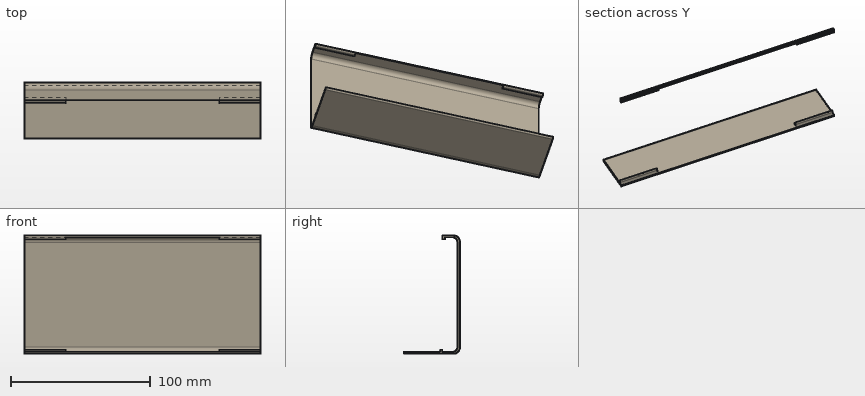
import cadquery as cq

length = 169.0
depth = 40.2
height = 85.0

wall_thickness = 2.0
flange_thickness = 1.5
outer_radius = 5.0
inner_radius = 3.5
lip_depth = 12.8
edge_radius = 1.0

snap_length = 29.5
snap_height = 1.5
snap_radius = 0.5
hook_width = 2.2
ridge_width = 1.7
ridge_center_offset = 13.5

back_y = depth / 2
front_y = -depth / 2
top_z = height / 2
bottom_z = -height / 2
lip_front_y = back_y - lip_depth
lip_underside_z = top_z - flange_thickness
floor_z = bottom_z + flange_thickness


def bar_between(bar_length, y_min, y_max, z_min, z_max):
    """Bar along X, centred on X = 0, between the given Y and Z limits."""
    bar = cq.Workplane("XY").box(bar_length, y_max - y_min, z_max - z_min)
    return bar.translate((0, (y_min + y_max) / 2, (z_min + z_max) / 2))


def make_channel():
    """Wall with a short top lip and a long bottom flange, rounded at the bends."""
    block = bar_between(length, front_y, back_y, bottom_z, top_z)
    block = block.edges("|X and >Y").fillet(outer_radius)
    inner_back_y = back_y - wall_thickness
    cavity = bar_between(length, front_y, inner_back_y, floor_z, lip_underside_z)
    cavity = cavity.edges("|X and >Y").fillet(inner_radius)
    space_before_lip = bar_between(length, front_y, lip_front_y, floor_z, top_z)
    channel = block.cut(cavity).cut(space_before_lip)

    lip_edge = cq.selectors.NearestToPointSelector((0, lip_front_y, top_z))
    flange_edge = cq.selectors.NearestToPointSelector((0, front_y, bottom_z))
    channel = channel.edges(lip_edge).fillet(edge_radius)
    return channel.edges(flange_edge).fillet(edge_radius)


def at_both_ends(bar):
    """Place a snap bar, modelled centred on X = 0, at each end of the channel."""
    end_shift = (length - snap_length) / 2
    return bar.translate((-end_shift, 0, 0)).union(bar.translate((end_shift, 0, 0)))


def make_hook():
    """Bar under the lip, flush with its front face, with rounded tip edges."""
    tip_z = lip_underside_z - snap_height
    hook = bar_between(snap_length, lip_front_y, lip_front_y + hook_width, tip_z, lip_underside_z)
    return hook.edges("|X and <Z").fillet(snap_radius)


def make_ridge():
    """Bar standing on the flange, with rounded tip edges and a concave fillet at its foot."""
    center_y = back_y - ridge_center_offset
    side = ridge_width / 2
    foot = side + snap_radius
    tip_flat = side - snap_radius
    tip_z = floor_z + snap_height
    foot_end_z = floor_z + snap_radius
    tip_start_z = tip_z - snap_radius
    return (
        cq.Workplane("YZ", origin=(-snap_length / 2, center_y, 0))
        .moveTo(-foot, floor_z)
        .radiusArc((-side, foot_end_z), -snap_radius)
        .lineTo(-side, tip_start_z)
        .radiusArc((-tip_flat, tip_z), snap_radius)
        .lineTo(tip_flat, tip_z)
        .radiusArc((side, tip_start_z), snap_radius)
        .lineTo(side, foot_end_z)
        .radiusArc((foot, floor_z), -snap_radius)
        .close()
        .extrude(snap_length)
    )


result = make_channel().union(at_both_ends(make_hook())).union(at_both_ends(make_ridge()))